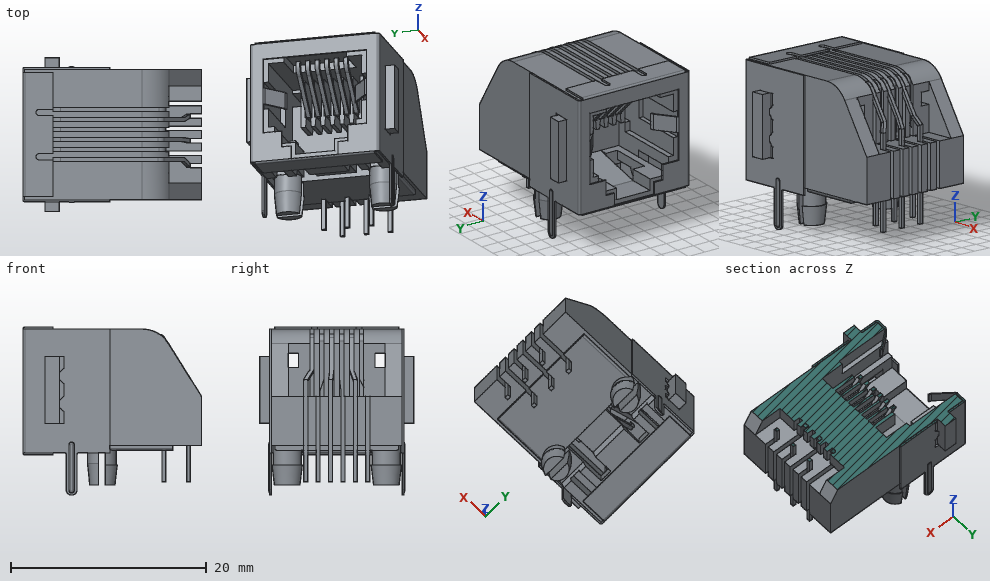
import cadquery as cq
import math


LENGTH = 18.3
SHEET = 0.2
BEND_R = 0.22
OVERLAP = 0.18

HALF_Y = 6.68
TOP_Z = 12.68
BASE_Z = 0.75
CROWN_X = 12.2
CROWN_R = 3.22
SLOPE = math.radians(58)
WALL_X = CROWN_X + CROWN_R * math.sin(SLOPE)
WALL_Z = TOP_Z - CROWN_R * (1 - math.cos(SLOPE))
SHELF_Z = WALL_Z - (LENGTH - WALL_X) * math.tan(SLOPE)
FOOT_X = 5.47
FOOT_HEEL = 0.37
PLATE_END = 15.35
PLATE_Z = 0.27
PLATE_HALF_Y = 6.33
PLATE_FILLET = 0.2

CAVITY_HALF_Y = 4.96
CAVITY_TOP = 10.54
CAVITY_BACK = 9.15
GUIDE_HALF_Y = 4.34
GUIDE_Z = 3.7
GUIDE_STOP_X = 8.05
GUIDE_STOP_Z = 4.72
LEDGE_Z = 1.78
LATCH_HALF_Y = 2.09
LATCH_Z = 0.5
RAMP_X = 3.3
FLOOR_SLOT_HALF_Y = 3.5
FLOOR_SLOT_END = 8.2
SIDE_SLOT_X = (1.43, 5.62)
SIDE_SLOT_Y = 5.62
SIDE_SLOT_Z = 2.5
SPRING_RECESS_Y = 5.45
SPRING_RECESS_END = 6.4
SPRING_RECESS_Z = (5.67, 8.55)
WINDOW_Y = 3.92
WINDOW_Z = (8.75, 10.2)

CONTACT_COUNT = 6
CONTACT_PITCH = 1.02
PIN_PITCH = 1.27
CONTACT_WIDTH = 0.42
CONTACT_T = 0.38
CONTACT_TOP = 12.15
FRONT_BEND_X = 3.86
FRONT_BEND_R = 1.23
NEAR_BEND_X = 13.9
FAR_BEND_X = 13.85
REAR_BEND_R = 0.71
FRONT_BEND_TURN = math.radians(150)
SPRING_ANGLE = math.radians(44)
SPRING_TIP_Z = 6.59
NEAR_PIN_X = NEAR_BEND_X + REAR_BEND_R - CONTACT_T / 2
FAR_PIN_X = 16.95
PIN_BOTTOM = -2.95
JOG_X = 16.52
NEAR_JOG_TOP = 7.5
NEAR_JOG_BOTTOM = 6.4

COMB_HALF_Y = 3.33
COMB_X = 6.59
COMB_BOTTOM = 5.55
COMB_SLOT = 0.73
COMB_MOUTH = 0.62
CHANNEL_TOP = 11.35

PEG_X = 8.09
PEG_Y = 5.07
PEG_R = 1.48
BARB_R = 1.6
PEG_TIP_R = 1.26
BARB_TIP_R = 1.35
PEG_SHOULDER = -1.1
BARB_SHOULDER = -1.23
PEG_BOTTOM = -3.3
PEG_SPLIT = 0.64

BLOCK_X = (2.25, 3.73)
BLOCK_Z = (3.02, 9.86)
BLOCK_SPAN = 15.75

SHIELD_Y = HALF_Y + SHEET
SHIELD_END = 8.91
FLAP_X = 3.11
FLAP_HALF_Y = 6.35
FLAP_SLOT_X = 1.35
FLAP_SLOT_Y = 2.27
FLAP_SLOT_WIDTH = 0.64
MOUTH_HALF_Y = 5.5
MOUTH_TOP = 11.02
MOUTH_STEP_Z = 3.07
MOUTH_MID_HALF_Y = 3.51
MOUTH_MID_Z = 1.37
MOUTH_LOW_HALF_Y = 2.49
TOOTH_X = 4.19
TOOTH_HALF = 0.64
END_TOOTH = 1.2
TOOTH_STEP = TOOTH_X - BLOCK_X[1]
TINE_X = 5.0
TINE_WIDTH = 1.13
TINE_BOTTOM = -4.32
TINE_FILLET = 0.13
BEAD_WIDTH = 0.59
BEAD_TOP = 1.12
BEAD_BOTTOM = -4.1
BEAD_STEP = 0.04
BEAD_RIM = 0.51
BEAD_CROWN = 0.04
BEAD_RIM_TAPER = 45
BEAD_CROWN_TAPER = 76
SPRING_Z = (6.19, 7.92)
SPRING_FACE = [(0, MOUTH_HALF_Y), (0.11, 5.3), (2.03, 3.75), (2.38, 3.65)]
SPRING_BACK = [(2.38, 3.85), (2.1, 3.93), (SHEET, 5.45), (SHEET, MOUTH_HALF_Y)]


def box(x_range, y_range, z_range):
    """A block that spans the given ranges."""
    size = [high - low for low, high in (x_range, y_range, z_range)]
    return cq.Workplane("XY").box(*size, centered=False).translate((x_range[0], y_range[0], z_range[0]))


def middle_box(x_range, half_y, z_range):
    """A block centred on the middle plane."""
    return box(x_range, (-half_y, half_y), z_range)


def both_sides(body):
    """The body and its mirror image across the middle plane."""
    return body.union(body.mirror("XZ"))


def side_profile(half_y):
    """A workplane at Y = half_y that extrudes towards -Y."""
    return cq.Workplane("XZ", origin=(0, half_y, 0))


def contact_row(index):
    """Spring position in Y, pin position in Y, and whether the pin is in the near row."""
    place = (CONTACT_COUNT - 1) / 2 - index
    return place * CONTACT_PITCH, place * PIN_PITCH, index % 2 == 0


def polar(center, radius, angle):
    """The point at an angle measured from +X towards +Z."""
    return center[0] + radius * math.cos(angle), center[1] + radius * math.sin(angle)


def make_contact(index):
    """One contact: sloping spring, two bends, tail, sideways jog and solder pin."""
    spring_y, pin_y, near = contact_row(index)
    pin_x = NEAR_PIN_X if near else FAR_PIN_X
    tail_angle = math.pi / 2 if near else SLOPE
    front = (FRONT_BEND_X, CONTACT_TOP - FRONT_BEND_R)
    rear = (NEAR_BEND_X if near else FAR_BEND_X, CONTACT_TOP - REAR_BEND_R)
    front_inner_r = FRONT_BEND_R - CONTACT_T
    rear_inner_r = REAR_BEND_R - CONTACT_T

    up = math.pi / 2
    front_end = up + FRONT_BEND_TURN
    rear_end = up - tail_angle
    front_mid = (up + front_end) / 2
    rear_mid = (up + rear_end) / 2

    def spring_tip(start):
        return start[0] + (start[1] - SPRING_TIP_Z) / math.tan(SPRING_ANGLE), SPRING_TIP_Z

    spring_outer = polar(front, FRONT_BEND_R, front_end)
    spring_inner = polar(front, front_inner_r, front_end)
    tail_outer = polar(rear, REAR_BEND_R, rear_end)
    tail_inner = polar(rear, rear_inner_r, rear_end)
    pin_face = pin_x + CONTACT_T / 2
    if near:
        tail_length = tail_outer[1] - NEAR_JOG_TOP
        jog_length = NEAR_JOG_TOP - NEAR_JOG_BOTTOM
    else:
        tail_length = (JOG_X - tail_outer[0]) / math.cos(tail_angle)
        jog_length = (pin_face - JOG_X) / math.cos(tail_angle)

    strip = (
        side_profile(spring_y + CONTACT_WIDTH / 2)
        .moveTo(*spring_tip(spring_outer))
        .lineTo(*spring_outer)
        .threePointArc(polar(front, FRONT_BEND_R, front_mid), polar(front, FRONT_BEND_R, up))
        .lineTo(*polar(rear, REAR_BEND_R, up))
        .threePointArc(polar(rear, REAR_BEND_R, rear_mid), tail_outer)
        .lineTo(*polar(tail_outer, tail_length, -tail_angle))
        .lineTo(*polar(tail_inner, tail_length, -tail_angle))
        .lineTo(*tail_inner)
        .threePointArc(polar(rear, rear_inner_r, rear_mid), polar(rear, rear_inner_r, up))
        .lineTo(*polar(front, front_inner_r, up))
        .threePointArc(polar(front, front_inner_r, front_mid), spring_inner)
        .lineTo(*spring_tip(spring_inner))
        .close()
        .extrude(CONTACT_WIDTH)
    )
    jog_x, jog_z = polar(polar(rear, REAR_BEND_R - CONTACT_T / 2, rear_end), tail_length, -tail_angle)
    along_tail = cq.Plane(
        origin=(jog_x, spring_y, jog_z),
        xDir=(0, 1, 0),
        normal=(math.cos(tail_angle), 0, -math.sin(tail_angle)),
    )
    jog = (
        cq.Workplane(along_tail)
        .rect(CONTACT_WIDTH, CONTACT_T)
        .workplane(offset=jog_length)
        .center(pin_y - spring_y, 0)
        .rect(CONTACT_WIDTH, CONTACT_T)
        .loft(ruled=True)
    )
    pin_top = polar(tail_outer, tail_length + jog_length, -tail_angle)[1]
    pin = box(
        (pin_face - CONTACT_T, pin_face),
        (pin_y - CONTACT_WIDTH / 2, pin_y + CONTACT_WIDTH / 2),
        (PIN_BOTTOM, pin_top),
    )
    return strip.union(jog).union(pin)


def housing_shell():
    """Outer shape with the curved back, the front foot, the bottom plate and the stop blocks."""
    crown_mid = polar((CROWN_X, TOP_Z - CROWN_R), CROWN_R, math.pi / 2 - SLOPE / 2)
    shell = (
        side_profile(HALF_Y)
        .moveTo(SHEET, 0)
        .lineTo(SHEET, TOP_Z)
        .lineTo(CROWN_X, TOP_Z)
        .threePointArc(crown_mid, (WALL_X, WALL_Z))
        .lineTo(LENGTH, SHELF_Z)
        .lineTo(LENGTH, BASE_Z)
        .lineTo(FOOT_X + FOOT_HEEL, BASE_Z)
        .lineTo(FOOT_X, 0)
        .close()
        .extrude(2 * HALF_Y)
    )
    plate = middle_box((FLOOR_SLOT_END, PLATE_END), PLATE_HALF_Y, (PLATE_Z, BASE_Z))
    plate = plate.edges("|X and <Z").fillet(PLATE_FILLET)
    blocks = middle_box(BLOCK_X, BLOCK_SPAN / 2, BLOCK_Z)
    return shell.union(plate).union(blocks)


def plug_cavity():
    """The space for the plug, its latch and the shield springs."""
    inside = (SHEET, CAVITY_BACK)
    space = middle_box(inside, CAVITY_HALF_Y, (GUIDE_Z, CAVITY_TOP))
    space = space.union(middle_box(inside, GUIDE_HALF_Y, (LEDGE_Z, GUIDE_Z)))
    space = space.union(middle_box((SHEET, SPRING_RECESS_END), SPRING_RECESS_Y, SPRING_RECESS_Z))
    space = space.union(middle_box((SHEET, FRONT_BEND_X), COMB_HALF_Y, (CAVITY_TOP, CHANNEL_TOP)))
    stop = box((GUIDE_STOP_X, CAVITY_BACK), (GUIDE_HALF_Y, CAVITY_HALF_Y), (GUIDE_Z, GUIDE_STOP_Z))
    space = space.cut(both_sides(stop))

    latch = (
        side_profile(LATCH_HALF_Y)
        .polyline([(SHEET, LATCH_Z), (RAMP_X, LATCH_Z), (CAVITY_BACK, LEDGE_Z), (SHEET, LEDGE_Z)])
        .close()
        .extrude(2 * LATCH_HALF_Y)
    )
    floor_slot = box((RAMP_X, FLOOR_SLOT_END), (LATCH_HALF_Y, FLOOR_SLOT_HALF_Y), (0, LEDGE_Z))
    side_slot = box(SIDE_SLOT_X, (GUIDE_HALF_Y, SIDE_SLOT_Y), (-OVERLAP, SIDE_SLOT_Z))
    window = box((CAVITY_BACK, LENGTH), (WINDOW_Y, CAVITY_HALF_Y), WINDOW_Z)
    return space.union(latch).union(both_sides(floor_slot.union(side_slot).union(window)))


def comb():
    """Seven fingers at the back of the cavity that keep the springs apart."""
    body = middle_box((COMB_X, CAVITY_BACK), COMB_HALF_Y, (COMB_BOTTOM, CAVITY_TOP))
    for index in range(CONTACT_COUNT):
        y = contact_row(index)[0]
        slot = box(
            (COMB_X, CAVITY_BACK), (y - COMB_SLOT / 2, y + COMB_SLOT / 2), (SPRING_TIP_Z, CAVITY_TOP)
        )
        mouth = (
            cq.Workplane("YZ", origin=(COMB_X, y, 0))
            .polyline([
                (-COMB_MOUTH / 2, COMB_BOTTOM),
                (COMB_MOUTH / 2, COMB_BOTTOM),
                (CONTACT_WIDTH / 2, SPRING_TIP_Z),
                (-CONTACT_WIDTH / 2, SPRING_TIP_Z),
            ])
            .close()
            .extrude(CAVITY_BACK - COMB_X)
        )
        body = body.cut(slot).cut(mouth)
    return body


def contact_passages(index):
    """Top groove, rear channel and bottom slot for one contact."""
    spring_y, pin_y, near = contact_row(index)
    half = CONTACT_WIDTH / 2
    groove_y = (spring_y - half, spring_y + half)
    pin_back = (NEAR_PIN_X if near else FAR_PIN_X) - CONTACT_T / 2
    passages = box((FLAP_X, WALL_X), groove_y, (CONTACT_TOP - CONTACT_T, TOP_Z))
    channel = box((NEAR_PIN_X - CONTACT_T / 2, WALL_X), groove_y, (SHELF_Z, TOP_Z))
    slot = box((pin_back, LENGTH), (pin_y - half, pin_y + half), (0, SHELF_Z))
    return passages.union(channel).union(slot)


def half_peg(radius, tip_radius, shoulder, side):
    """Half of a split peg, on the front (side = -1) or the rear (side = 1) of its slot."""
    shank = cq.Workplane("XY", origin=(PEG_X, PEG_Y, BASE_Z)).circle(PEG_R).extrude(shoulder - BASE_Z)
    tip = (
        cq.Workplane("XY", origin=(PEG_X, PEG_Y, shoulder))
        .circle(radius)
        .workplane(offset=PEG_BOTTOM - shoulder)
        .circle(tip_radius)
        .loft()
    )
    near_x = PEG_X + side * PEG_SPLIT / 2
    far_x = PEG_X + side * 2 * PEG_R
    keep = box(
        (min(near_x, far_x), max(near_x, far_x)),
        (PEG_Y - 2 * PEG_R, PEG_Y + 2 * PEG_R),
        (PEG_BOTTOM, BASE_Z),
    )
    return shank.union(tip).intersect(keep)


def make_housing(contacts):
    """The moulded housing, with a seat for every contact."""
    body = housing_shell().cut(plug_cavity()).union(comb())
    body = body.cut(middle_box((WALL_X, LENGTH + OVERLAP), CAVITY_HALF_Y, (SHELF_Z, TOP_Z)))
    pegs = half_peg(PEG_R, PEG_TIP_R, PEG_SHOULDER, -1)
    pegs = pegs.union(half_peg(BARB_R, BARB_TIP_R, BARB_SHOULDER, 1))
    body = body.union(both_sides(pegs))
    for index, contact in enumerate(contacts):
        body = body.cut(contact_passages(index)).cut(contact)
    return body


def shield_sheet():
    """Front plate with the two side walls and the top and bottom flaps folded back from it."""
    walls = middle_box((0, SHIELD_END), SHIELD_Y, (0, TOP_Z)).edges("|Z and <X").fillet(BEND_R)
    walls = walls.cut(middle_box((SHEET, SHIELD_END), HALF_Y, (0, TOP_Z)))
    flaps = middle_box((0, FLAP_X), FLAP_HALF_Y, (-SHEET, TOP_Z + SHEET)).edges("|Y and <X").fillet(BEND_R)
    flaps = flaps.cut(middle_box((SHEET, FLAP_X), FLAP_HALF_Y, (0, TOP_Z)))
    return walls.union(flaps)


def mouth_opening():
    """Stepped plug opening in the front plate, open at the bottom edge."""
    front = (0, SHEET)
    opening = middle_box(front, MOUTH_HALF_Y, (MOUTH_STEP_Z, MOUTH_TOP))
    opening = opening.union(middle_box(front, MOUTH_MID_HALF_Y, (MOUTH_MID_Z, MOUTH_STEP_Z)))
    return opening.union(middle_box(front, MOUTH_LOW_HALF_Y, (0, MOUTH_MID_Z)))


def flap_slots():
    """Two round-ended slots that open to the rear edge of the top flap."""
    length = 2 * (FLAP_X - FLAP_SLOT_X)
    return (
        cq.Workplane("XY", origin=(FLAP_X, 0, TOP_Z))
        .pushPoints([(0, FLAP_SLOT_Y), (0, -FLAP_SLOT_Y)])
        .slot2D(length, FLAP_SLOT_WIDTH)
        .extrude(SHEET)
    )


def block_window():
    """Window around each stop block, with three tooth-shaped bays along the rear edge."""
    low, high = BLOCK_Z
    middle = (low + high) / 2
    window = middle_box(BLOCK_X, SHIELD_Y, BLOCK_Z)
    for center, half in ((low, END_TOOTH), (middle, TOOTH_HALF), (high, END_TOOTH)):
        bay = (
            side_profile(SHIELD_Y)
            .polyline([
                (BLOCK_X[1], center - half - TOOTH_STEP),
                (TOOTH_X, center - half),
                (TOOTH_X, center + half),
                (BLOCK_X[1], center + half + TOOTH_STEP),
            ])
            .close()
            .extrude(2 * SHIELD_Y)
        )
        window = window.union(bay.intersect(middle_box((0, SHIELD_END), SHIELD_Y, BLOCK_Z)))
    return window


def tine():
    """Ground tine below a side wall, stiffened by a raised bead."""
    half = TINE_WIDTH / 2
    root = half + TINE_FILLET
    leg = (
        side_profile(SHIELD_Y)
        .moveTo(TINE_X - root, 0)
        .radiusArc((TINE_X - half, -TINE_FILLET), TINE_FILLET)
        .lineTo(TINE_X - half, TINE_BOTTOM + half)
        .threePointArc((TINE_X, TINE_BOTTOM), (TINE_X + half, TINE_BOTTOM + half))
        .lineTo(TINE_X + half, -TINE_FILLET)
        .radiusArc((TINE_X + root, 0), TINE_FILLET)
        .close()
        .extrude(SHEET)
    )
    bead_z = (BEAD_TOP + BEAD_BOTTOM) / 2
    bead_length = BEAD_TOP - BEAD_BOTTOM
    rim = (
        cq.Workplane("XZ", origin=(TINE_X, SHIELD_Y, bead_z))
        .slot2D(bead_length, BEAD_WIDTH, 90)
        .extrude(-BEAD_STEP, taper=BEAD_RIM_TAPER)
    )
    crown = (
        cq.Workplane("XZ", origin=(TINE_X, SHIELD_Y + BEAD_STEP, bead_z))
        .slot2D(bead_length - BEAD_WIDTH + BEAD_RIM, BEAD_RIM, 90)
        .extrude(-BEAD_CROWN, taper=BEAD_CROWN_TAPER)
    )
    return leg.union(rim).union(crown)


def mouth_spring():
    """Contact spring folded from the side of the mouth into the cavity."""
    return (
        cq.Workplane("XY", origin=(0, 0, SPRING_Z[0]))
        .polyline(SPRING_FACE + SPRING_BACK)
        .close()
        .extrude(SPRING_Z[1] - SPRING_Z[0])
    )


def make_shield():
    """The folded shield."""
    body = shield_sheet().cut(mouth_opening()).cut(flap_slots()).cut(block_window())
    return body.union(both_sides(tine().union(mouth_spring())))


contacts = [make_contact(index) for index in range(CONTACT_COUNT)]
housing = make_housing(contacts)
shield = make_shield()

result = cq.Compound.makeCompound(
    [housing.val(), shield.val(), *[contact.val() for contact in contacts]]
)